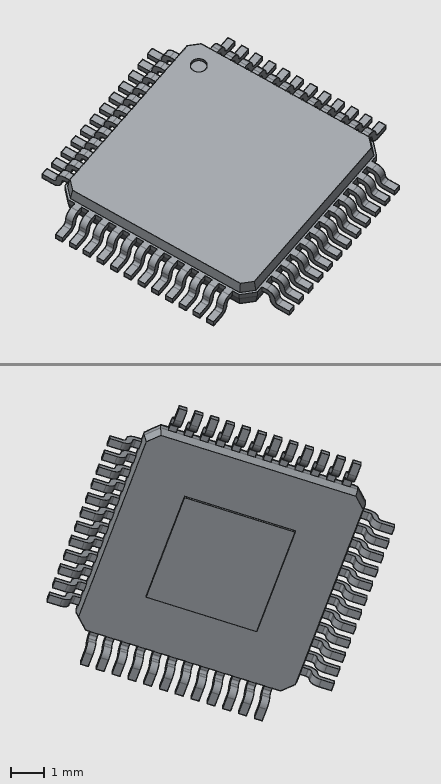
import cadquery as cq
import math

overall_span = 9.0
overall_height = 1.0
standoff = 0.1

body_width = 7.0
corner_cut = 0.39
body_taper = 12.0
upper_ledge = 0.07

pad_width = 3.5

mark_diameter = 0.5
mark_offset = 2.65
mark_depth = 0.1

leads_per_side = 12
lead_row_span = 5.5
lead_width = 0.25
lead_thickness = 0.2
foot_length = 0.405
inner_radius = 0.1
bend_angle = math.radians(80)
lead_embed = 0.27

lead_pitch = lead_row_span / (leads_per_side - 1)
outer_radius = inner_radius + lead_thickness
body_height = overall_height - standoff
band_bottom = standoff + (body_height - lead_thickness) / 2
band_top = band_bottom + lead_thickness


def cut_corner_square(z):
    """Square outline of the band with its corners cut off, at height z."""
    half = body_width / 2
    short = half - corner_cut
    points = [
        (half, short), (short, half), (-short, half), (-half, short),
        (-half, -short), (-short, -half), (short, -half), (half, -short),
    ]
    return cq.Workplane("XY").workplane(offset=z).polyline(points).close()


def make_body():
    band = cut_corner_square(band_bottom).extrude(lead_thickness)
    lower = cut_corner_square(band_bottom).extrude(standoff - band_bottom, taper=body_taper)
    upper = (
        cut_corner_square(band_top)
        .offset2D(-upper_ledge)
        .extrude(overall_height - band_top, taper=body_taper)
    )
    return band.union(lower).union(upper)


def make_pad():
    return cq.Workplane("XY").rect(pad_width, pad_width).extrude(standoff)


def make_mark():
    return (
        cq.Workplane("XY")
        .workplane(offset=overall_height - mark_depth)
        .center(-mark_offset, mark_offset)
        .circle(mark_diameter / 2)
        .extrude(mark_depth)
    )


def on_circle(center, radius, angle):
    """Point at an angle measured from straight down, turning towards +X."""
    return (center[0] + radius * math.sin(angle), center[1] - radius * math.cos(angle))


def make_lead():
    """Lead on the -X side, centred on the X axis."""
    toe = -overall_span / 2
    inner_end = lead_embed - body_width / 2

    bend_rise = (inner_radius + outer_radius) * (1 - math.cos(bend_angle))
    shank = (band_bottom - bend_rise) / math.sin(bend_angle)

    lower_center = (toe + foot_length, lead_thickness + inner_radius)
    bend_run = (inner_radius + outer_radius) * math.sin(bend_angle) + shank * math.cos(bend_angle)
    upper_center = (lower_center[0] + bend_run, band_bottom - inner_radius)

    profile = (
        cq.Workplane("XZ", origin=(0, lead_width / 2, 0))
        .moveTo(toe, 0)
        .lineTo(lower_center[0], 0)
        .threePointArc(
            on_circle(lower_center, outer_radius, bend_angle / 2),
            on_circle(lower_center, outer_radius, bend_angle),
        )
        .lineTo(*on_circle(upper_center, -inner_radius, bend_angle))
        .threePointArc(
            on_circle(upper_center, -inner_radius, bend_angle / 2),
            on_circle(upper_center, -inner_radius, 0),
        )
        .lineTo(inner_end, band_bottom)
        .lineTo(inner_end, band_top)
        .lineTo(upper_center[0], band_top)
        .threePointArc(
            on_circle(upper_center, -outer_radius, bend_angle / 2),
            on_circle(upper_center, -outer_radius, bend_angle),
        )
        .lineTo(*on_circle(lower_center, inner_radius, bend_angle))
        .threePointArc(
            on_circle(lower_center, inner_radius, bend_angle / 2),
            on_circle(lower_center, inner_radius, 0),
        )
        .lineTo(toe, lead_thickness)
        .close()
    )
    return profile.extrude(lead_width)


def make_leads():
    """All the leads: one row per side, as a list of solids."""
    lead = make_lead()
    leads = []
    for side in range(4):
        for index in range(leads_per_side):
            along = index * lead_pitch - lead_row_span / 2
            placed = lead.translate((0, along, 0)).rotate((0, 0, 0), (0, 0, 1), 90 * side)
            leads.append(placed.val())
    return leads


package = make_body().union(make_pad()).cut(make_mark())
result = cq.Workplane(package.val().fuse(*make_leads()).clean())